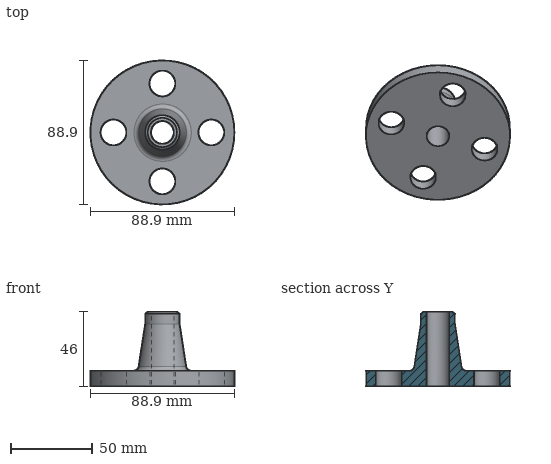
import cadquery as cq

flange_diameter = 88.9
flange_thickness = 9.65
bolt_circle_diameter = 60.3
bolt_hole_diameter = 15.75
bolt_hole_count = 4

overall_height = 45.97
hub_base_diameter = 30.2
hub_fillet_radius = 3.0
neck_diameter = 21.3
neck_length = 7.4
bore_diameter = 13.87

bevel_land_diameter = 18.0
bevel_height = 1.4

neck_bottom = overall_height - neck_length
bevel_bottom = overall_height - bevel_height


def make_body():
    """Solid flange, tapered hub, straight neck and bevel, revolved about Z."""
    profile = (
        cq.Workplane("XZ")
        .lineTo(flange_diameter / 2, 0)
        .lineTo(flange_diameter / 2, flange_thickness)
        .lineTo(hub_base_diameter / 2, flange_thickness)
        .lineTo(neck_diameter / 2, neck_bottom)
        .lineTo(neck_diameter / 2, bevel_bottom)
        .lineTo(bevel_land_diameter / 2, overall_height)
        .lineTo(0, overall_height)
        .close()
    )
    return profile.revolve(360, (0, 0, 0), (0, 1, 0))


def fillet_hub_base(body):
    """Round the inside corner between the hub and the flange's upper face."""
    upper_face_edges = body.faces("|Z").faces("<Z[1]").edges("%CIRCLE")
    hub_corner = upper_face_edges.edges(cq.selectors.RadiusNthSelector(0))
    return hub_corner.fillet(hub_fillet_radius)


def cut_bore(body):
    """Central bore through the full height."""
    bore = cq.Workplane("XY").circle(bore_diameter / 2).extrude(overall_height)
    return body.cut(bore)


def cut_bolt_holes(body):
    """Evenly spaced through holes, the first one on the +X axis."""
    holes = (
        cq.Workplane("XY")
        .polarArray(bolt_circle_diameter / 2, 0, 360, bolt_hole_count)
        .circle(bolt_hole_diameter / 2)
        .extrude(flange_thickness)
    )
    return body.cut(holes)


body = make_body()
body = fillet_hub_base(body)
body = cut_bore(body)
result = cut_bolt_holes(body)